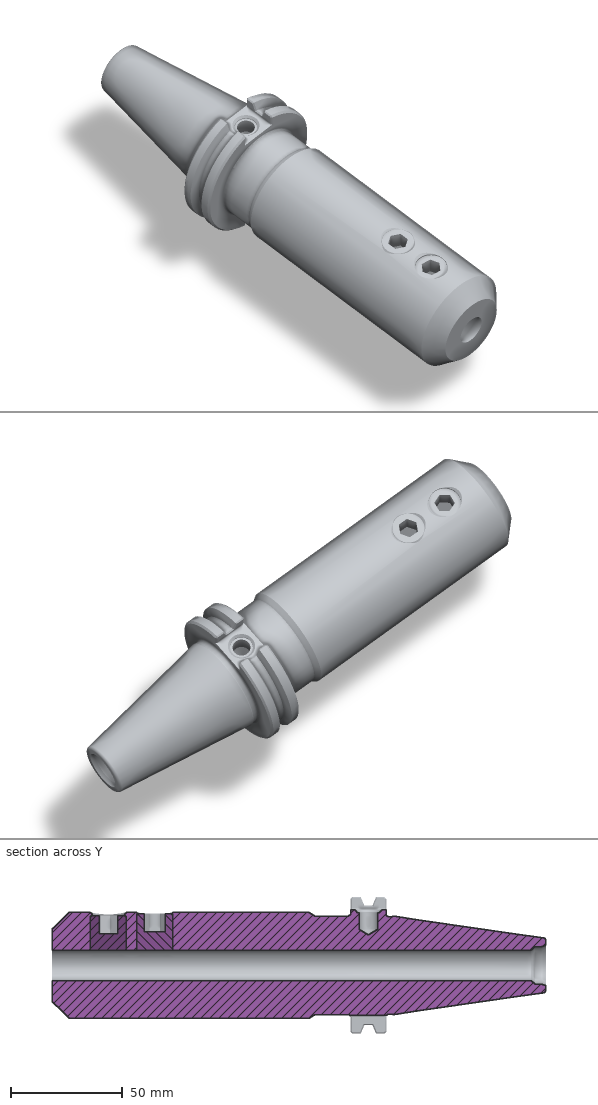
import cadquery as cq
import math

length = 220.6

taper_small_d = 24.5
taper_large_d = 44.4
taper_end_x = 68.2
tip_fillet = 1.3

relief_d = 44.0
relief_step_length = 0.5

flange_d = 63.5
flange_start_x = 71.3
flange_width = 16.0
flange_chamfer = 0.9
flange_root_fillet = 0.9
groove_floor_d = 56.0
groove_floor_width = 3.5
groove_mouth_width = 6.8
flange_end_x = flange_start_x + flange_width
flange_mid_x = flange_start_x + flange_width / 2

neck_d = 44.4
neck_end_x = 103.3
body_d = 47.7
body_start_x = 106.0
nose_length = 7.7
nose_d = 32.7

bore_d = 13.5
pilot_d = 16.5
pilot_mouth_d = 17.9
pilot_mouth_length = 2.0
pilot_depth = 4.9
pilot_cone_length = 1.8

slot_width = 16.0
slot_edge_chamfer = 0.7
slot_corner_fillet = 0.55
top_slot_floor_z = 25.0
bottom_slot_floor_z = -22.5
slot_floors = (top_slot_floor_z, bottom_slot_floor_z)
tolerance = 0.002

stepped_mouth_d = 12.1
stepped_upper_d = 10.1
stepped_upper_depth = 1.3
stepped_lower_d = 8.0
stepped_lower_depth = 8.8
drill_point_angle = 118.0

screw_d = 15.9
screw_top_d = 14.3
screw_mouth_d = 16.5
screw_mouth_depth = 0.9
socket_across_flats = 8.0
socket_depth = 8.0
screw_bottom_z = bore_d / 2
screws = [
    (174.8, 23.2, 0.0),
    (195.5, 22.3, 20.0),
]


def outer_blank():
    """Turned outside without holes or slots."""
    flange_r = flange_d / 2
    groove_floor_r = groove_floor_d / 2
    fillet = flange_root_fillet
    fillet_mid = fillet * (1 - math.sqrt(0.5))
    relief_r = relief_d / 2
    neck_r = neck_d / 2
    half_section = (
        cq.Workplane("XY")
        .lineTo(0, taper_small_d / 2)
        .lineTo(taper_end_x, taper_large_d / 2)
        .lineTo(taper_end_x + relief_step_length, relief_r)
        .lineTo(flange_start_x - fillet, relief_r)
        .threePointArc((flange_start_x - fillet_mid, relief_r + fillet_mid),
                       (flange_start_x, relief_r + fillet))
        .lineTo(flange_start_x, flange_r - flange_chamfer)
        .lineTo(flange_start_x + flange_chamfer, flange_r)
        .lineTo(flange_mid_x - groove_mouth_width / 2, flange_r)
        .lineTo(flange_mid_x - groove_floor_width / 2, groove_floor_r)
        .lineTo(flange_mid_x + groove_floor_width / 2, groove_floor_r)
        .lineTo(flange_mid_x + groove_mouth_width / 2, flange_r)
        .lineTo(flange_end_x - flange_chamfer, flange_r)
        .lineTo(flange_end_x, flange_r - flange_chamfer)
        .lineTo(flange_end_x, neck_r + fillet)
        .threePointArc((flange_end_x + fillet_mid, neck_r + fillet_mid),
                       (flange_end_x + fillet, neck_r))
        .lineTo(neck_end_x, neck_r)
        .lineTo(body_start_x, body_d / 2)
        .lineTo(length - nose_length, body_d / 2)
        .lineTo(length, nose_d / 2)
        .lineTo(length, 0)
        .close()
    )
    blank = half_section.revolve(360, (0, 0, 0), (1, 0, 0))
    return blank.faces("<X").edges().fillet(tip_fillet)


def turn_about_x(profile):
    return cq.Workplane("XY").polyline(profile).close().revolve(360, (0, 0, 0), (1, 0, 0))


def turn_about_z(profile, x):
    """Solid of revolution about a vertical axis at x, from (radius, z) points."""
    turned = cq.Workplane("XZ").polyline(profile).close().revolve(360, (0, 0, 0), (0, 1, 0))
    return turned.translate((x, 0, 0))


def bore_cutter():
    return turn_about_x([
        (0, 0),
        (0, pilot_mouth_d / 2),
        (pilot_mouth_length, pilot_d / 2),
        (pilot_depth, pilot_d / 2),
        (pilot_depth + pilot_cone_length, bore_d / 2),
        (length, bore_d / 2),
        (length, 0),
    ])


def slot_cutter(floor_z):
    """Block across the flange, from the slot floor outwards."""
    outer_z = math.copysign(flange_d / 2, floor_z)
    block = cq.Workplane("XY").box(flange_width, slot_width, abs(outer_z - floor_z))
    return block.translate((flange_mid_x, 0, (floor_z + outer_z) / 2))


def slot_wall_edges(holder, on_floor):
    """Edges of the slot walls: those along the slot floors, or those on the outside of the flange."""
    chosen = []
    for edge in holder.edges().vals():
        box = edge.BoundingBox()
        in_wall = box.ylen < tolerance and abs(abs(box.center.y) - slot_width / 2) < tolerance
        floor_gap = min(abs(box.center.z - floor_z) for floor_z in slot_floors)
        along_floor = box.zlen < tolerance and floor_gap < tolerance
        if in_wall and along_floor == on_floor:
            chosen.append(edge)
    return holder.newObject(chosen)


def stepped_hole_cutter():
    top = top_slot_floor_z
    mouth_chamfer = (stepped_mouth_d - stepped_upper_d) / 2
    lower_r = stepped_lower_d / 2
    point_length = lower_r / math.tan(math.radians(drill_point_angle / 2))
    return turn_about_z([
        (0, top),
        (stepped_mouth_d / 2, top),
        (stepped_upper_d / 2, top - mouth_chamfer),
        (stepped_upper_d / 2, top - stepped_upper_depth),
        (lower_r, top - stepped_upper_depth),
        (lower_r, top - stepped_lower_depth),
        (0, top - stepped_lower_depth - point_length),
    ], flange_mid_x)


def make_holder():
    holder = outer_blank()
    for floor_z in slot_floors:
        holder = holder.cut(slot_cutter(floor_z))
    holder = slot_wall_edges(holder, on_floor=False).chamfer(slot_edge_chamfer)
    holder = slot_wall_edges(holder, on_floor=True).fillet(slot_corner_fillet)
    holder = holder.cut(stepped_hole_cutter()).cut(bore_cutter())
    for x, top_z, turn in screws:
        holder = holder.cut(screw_hole_cutter(x, top_z))
    return holder


def screw_side(top_z):
    """(radius, z) points of a screw, from its lower end up to its chamfered top."""
    chamfer = (screw_d - screw_top_d) / 2
    return [
        (0, screw_bottom_z),
        (screw_d / 2, screw_bottom_z),
        (screw_d / 2, top_z - chamfer),
        (screw_top_d / 2, top_z),
    ]


def screw_hole_cutter(x, top_z):
    """Recess that fits a screw, with a countersink where it meets the outside."""
    throat_r = screw_top_d / 2
    mouth_r = screw_mouth_d / 2
    outer_z = body_d / 2
    throat_z = outer_z - screw_mouth_depth
    cone_slope = screw_mouth_depth / (mouth_r - throat_r)
    side = screw_side(top_z)
    if top_z > throat_z:
        widening = (top_z - throat_z) / (1 + cone_slope)
        side[-1] = (throat_r + widening, throat_z + widening * cone_slope)
    else:
        side.append((throat_r, throat_z))
    return turn_about_z(side + [(mouth_r, outer_z), (0, outer_z)], x)


def make_screw(x, top_z, turn):
    corner_d = socket_across_flats / math.cos(math.radians(30))
    socket = cq.Workplane("XY").polygon(6, corner_d).extrude(socket_depth)
    socket = socket.rotate((0, 0, 0), (0, 0, 1), turn)
    blank = turn_about_z(screw_side(top_z) + [(0, top_z)], x)
    return blank.cut(socket.translate((x, 0, top_z - socket_depth)))


holder = make_holder()
clamp_screws = [make_screw(x, top_z, turn) for x, top_z, turn in screws]

result = cq.Compound.makeCompound([holder.val(), *[screw.val() for screw in clamp_screws]])